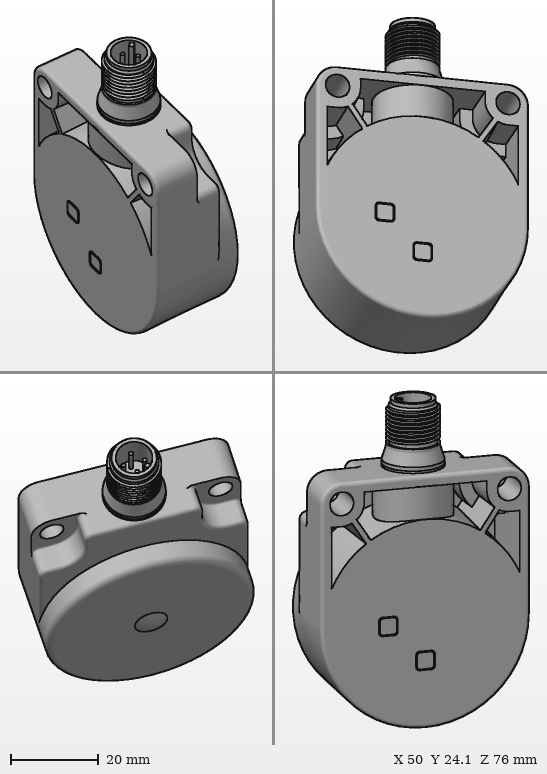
import cadquery as cq
import math


half_width = 25.0
housing_top = 35.1
housing_depth = 17.6
housing_draft = 0.5
corner_radius = 4.95
housing_edge_fillet = 0.9

disc_depth = 23.25
disc_edge_fillet = 1.7
joint_depth = 19.75
lens_radius = 3.9
lens_height = 0.8

hole_x = half_width - corner_radius
hole_z = housing_top - corner_radius
hole_diameter = 5.6
relief_floor = 11.1
relief_radius = 6.1
relief_lip_radius = 2.0
relief_floor_fillet = 0.45

pocket_half_width = 22.5
pocket_top = 32.5
pocket_depth = 16.65
pocket_draft = 2.0
disc_wall_radius = 24.7
screw_boss_radius = 5.4
relief_wall_radius = 8.8
relief_wall_front = 10.2
rib_thickness = 1.4

window_size = 4.5
window_corner = 0.9
window_groove = 0.2
window_offset = 8.9

connector_y = 9.4
connector_boss_radius = 9.3
connector_top = 51.0
collar_radius = 7.3
collar_top = 35.65
base_radius = 7.2
base_top = 36.55
shoulder_radius = 6.2
shoulder_bottom = 39.7
shoulder_top = 40.5
thread_root_radius = 5.6
thread_crest_radius = 6.2
thread_pitch = 1.0
thread_turns = 8
thread_ridge_width = 0.75
thread_start = 41.0
thread_embed = 0.15
neck_radius = 5.2
neck_bottom = 50.0
chamfer_bottom = 49.4

socket_radius = 4.2
socket_depth = 8.35
pin_radius = 0.495
pin_circle_radius = 2.5
pin_recess = 2.3
pin_count = 4
key_width = 1.15
key_inner_radius = 2.9
key_recess = 0.7
key_angle = 135

overlap = 0.75
overshoot = 7.6


def drafted_half_width(depth):
    return half_width - depth * math.tan(math.radians(housing_draft))


back_half_width = drafted_half_width(housing_depth)
pocket_narrowing = pocket_depth * math.tan(math.radians(pocket_draft))


def at_depth(depth):
    """Sketch plane at a depth; extrusions from it run toward the front face."""
    return cq.Workplane("XZ", origin=(0, depth, 0))


def both_sides(solid):
    return solid.union(solid.mirror("YZ"))


def housing_outline(plane, side):
    """Outline above the disc axis, with rounded upper corners."""
    bend = corner_radius * (1 - math.sqrt(0.5))
    flat = side - corner_radius
    return (
        plane.moveTo(-side, 0)
        .lineTo(-side, hole_z)
        .threePointArc((-side + bend, housing_top - bend), (-flat, housing_top))
        .lineTo(flat, housing_top)
        .threePointArc((side - bend, housing_top - bend), (side, hole_z))
        .lineTo(side, 0)
        .close()
    )


def make_housing():
    """Upper half of the housing with the screw-head reliefs; only its sides are drafted."""
    back = housing_outline(at_depth(housing_depth), back_half_width)
    housing = housing_outline(back.workplane(offset=housing_depth), half_width).loft(ruled=True)
    housing = housing.cut(both_sides(make_relief()))
    housing = round_relief_lips(housing)
    housing = round_relief_floors(housing)
    return housing.faces(">Y").edges("not <Z").fillet(housing_edge_fillet)


def make_disc():
    """Disc that carries on the housing draft up to the joint, with a straight cap behind it."""
    cap_radius = drafted_half_width(joint_depth)
    disc = (
        cq.Workplane("XY")
        .lineTo(half_width, 0)
        .lineTo(cap_radius, joint_depth)
        .lineTo(cap_radius, disc_depth)
        .lineTo(0, disc_depth)
        .close()
        .revolve(360, (0, 0, 0), (0, 1, 0))
    )
    disc = disc.faces(">Y").edges().fillet(disc_edge_fillet)
    lens_sphere = (lens_radius**2 + lens_height**2) / (2 * lens_height)
    lens_center = disc_depth + lens_height - lens_sphere
    lens = cq.Workplane("XY").sphere(lens_sphere).translate((0, lens_center, 0))
    lens_blank = at_depth(disc_depth + 2 * overlap).circle(lens_radius).extrude(3 * overlap)
    return disc.union(lens.intersect(lens_blank))


def around_screw(depth, radius):
    """Outline around the left screw axis, reaching past the top and the left side."""
    reach = radius * math.sqrt(0.5)
    left = -half_width - overshoot
    top = housing_top + overshoot
    return (
        at_depth(depth)
        .moveTo(left, hole_z - radius)
        .lineTo(-hole_x, hole_z - radius)
        .threePointArc((-hole_x + reach, hole_z - reach), (-hole_x + radius, hole_z))
        .lineTo(-hole_x + radius, top)
        .lineTo(left, top)
        .close()
    )


def corner_wall(radius, front):
    """Wall around the left screw axis, thicker with depth."""
    height = pocket_depth - front
    back_radius = radius + height * math.tan(math.radians(pocket_draft))
    return around_screw(pocket_depth, back_radius).extrude(height, taper=pocket_draft)


def make_relief():
    """Cutter for the left screw-head relief, open toward the side, the top and the back."""
    back = housing_depth + overlap
    return around_screw(back, relief_radius).extrude(back - relief_floor)


def round_relief_lips(housing):
    """Round the edges where the relief walls run out into the top and the sides."""
    lip_depth = (relief_floor + housing_depth) / 2
    for side in (-1, 1):
        top_lip = (side * (hole_x - relief_radius), lip_depth, housing_top)
        side_lip = (side * drafted_half_width(lip_depth), lip_depth, hole_z - relief_radius)
        for lip in (top_lip, side_lip):
            housing = housing.edges(cq.selectors.NearestToPointSelector(lip)).fillet(relief_lip_radius)
    return housing


def round_relief_floors(housing):
    """Fillet the foot of each relief wall."""
    reach = relief_radius * math.sqrt(0.5)
    for side in (-1, 1):
        wall_foot = (side * (hole_x - reach), relief_floor, hole_z - reach)
        housing = housing.edges(cq.selectors.NearestToPointSelector(wall_foot)).fillet(relief_floor_fillet)
    return housing


def make_rib():
    """Radial rib from the left screw boss to the disc wall, thicker with depth."""
    length = math.hypot(hole_x, hole_z)
    angle = math.degrees(math.atan2(hole_z, -hole_x))
    back_thickness = rib_thickness + 2 * pocket_narrowing
    return (
        at_depth(pocket_depth)
        .transformed(rotate=(0, 0, angle))
        .center(length / 2, 0)
        .rect(length, back_thickness)
        .extrude(pocket_depth, taper=pocket_draft)
    )


def make_pocket():
    """Cutter for the front hollow; walls, ribs and bosses are left out of it."""
    width = 2 * (pocket_half_width - pocket_narrowing)
    height = pocket_top - pocket_narrowing
    disc_wall = (
        at_depth(pocket_depth)
        .circle(disc_wall_radius + pocket_narrowing)
        .extrude(pocket_depth, taper=pocket_draft)
    )
    pocket = (
        at_depth(pocket_depth)
        .center(0, height / 2)
        .rect(width, height)
        .extrude(pocket_depth, taper=-pocket_draft)
    )
    connector_boss = (
        cq.Workplane("XY").center(0, connector_y).circle(connector_boss_radius).extrude(housing_top)
    )
    pocket = pocket.cut(disc_wall)
    pocket = pocket.cut(both_sides(corner_wall(screw_boss_radius, 0)))
    pocket = pocket.cut(both_sides(corner_wall(relief_wall_radius, relief_wall_front)))
    pocket = pocket.cut(both_sides(make_rib()))
    return pocket.cut(connector_boss)


def make_window(x, z):
    outer = at_depth(window_groove).center(x, z).rect(window_size, window_size).extrude(window_groove)
    inner_size = window_size - 2 * window_groove
    inner = at_depth(window_groove).center(x, z).rect(inner_size, inner_size).extrude(window_groove)
    outer = outer.edges("|Y").fillet(window_corner)
    inner = inner.edges("|Y").fillet(window_corner - window_groove)
    return outer.cut(inner)


def make_thread():
    """Right-handed helical ridge, as a triangle swept around the connector axis."""
    height = thread_turns * thread_pitch
    path = cq.Wire.makeHelix(thread_pitch, height, thread_root_radius)
    half_ridge = thread_ridge_width / 2
    return (
        cq.Workplane("XZ")
        .moveTo(thread_root_radius - thread_embed, -half_ridge)
        .lineTo(thread_crest_radius, 0)
        .lineTo(thread_root_radius - thread_embed, half_ridge)
        .close()
        .sweep(cq.Workplane(path), isFrenet=True)
        .translate((0, 0, thread_start))
    )


def make_connector():
    """Connector about the Z axis through the origin."""
    shell = (
        cq.Workplane("XZ")
        .moveTo(0, housing_top - overlap)
        .lineTo(collar_radius, housing_top - overlap)
        .lineTo(collar_radius, collar_top)
        .lineTo(base_radius, collar_top)
        .lineTo(base_radius, base_top)
        .lineTo(shoulder_radius, shoulder_bottom)
        .lineTo(shoulder_radius, shoulder_top)
        .lineTo(thread_root_radius, shoulder_top)
        .lineTo(thread_root_radius, chamfer_bottom)
        .lineTo(neck_radius, neck_bottom)
        .lineTo(neck_radius, connector_top)
        .lineTo(0, connector_top)
        .close()
        .revolve(360, (0, 0, 0), (0, 1, 0))
    )
    shell = shell.union(make_thread())
    floor = connector_top - socket_depth
    socket = cq.Workplane("XY", origin=(0, 0, floor)).circle(socket_radius).extrude(socket_depth)
    pins = (
        cq.Workplane("XY", origin=(0, 0, floor - overlap))
        .polarArray(pin_circle_radius, 0, 360, pin_count)
        .circle(pin_radius)
        .extrude(socket_depth + overlap - pin_recess)
    )
    key_length = socket_radius + overlap / 2 - key_inner_radius
    key = (
        cq.Workplane("XY", origin=(0, 0, floor - overlap))
        .transformed(rotate=(0, 0, key_angle))
        .center(key_inner_radius + key_length / 2, 0)
        .rect(key_length, key_width)
        .extrude(socket_depth + overlap - key_recess)
    )
    return shell.cut(socket).union(pins).union(key)


def make_screw_holes():
    return (
        at_depth(housing_depth)
        .pushPoints([(-hole_x, hole_z), (hole_x, hole_z)])
        .circle(hole_diameter / 2)
        .extrude(housing_depth)
    )


result = make_housing().union(make_disc())
result = result.faces("<Y").edges().fillet(housing_edge_fillet)
result = result.cut(make_pocket()).cut(make_screw_holes())
result = result.cut(make_window(-window_offset, 0)).cut(make_window(0, -window_offset))
result = result.union(make_connector().translate((0, connector_y, 0)))